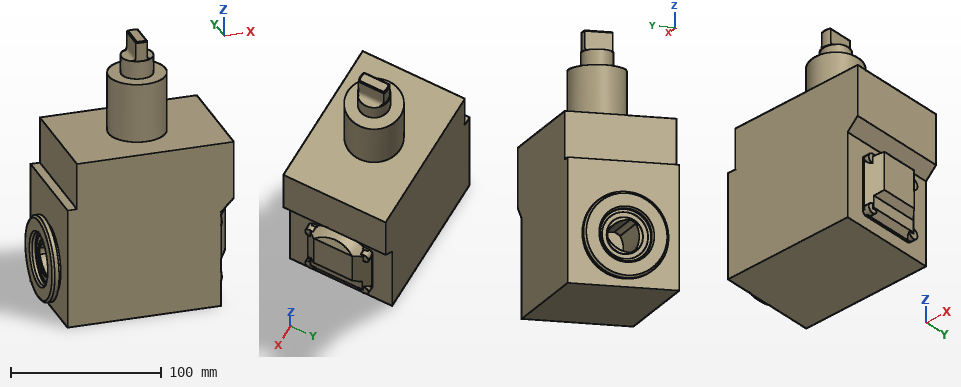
import cadquery as cq
import math

WIDTH = 77.5
TOTAL_HEIGHT = 188.0
HOUSING_TOP = 119.0
STEP_Z = 86.0
LOWER_LEFT_X = -61.7
UPPER_LEFT_X = -55.0
UPPER_RIGHT_X = 54.9
LOWER_RIGHT_X = 45.9
OVERHANG_Z = 77.8
UNDERCUT_Z = OVERHANG_Z - (UPPER_RIGHT_X - LOWER_RIGHT_X)

COLLAR_D = 39.9
COLLAR_TOP = 161.1
JOURNAL_D = 22.0
JOURNAL_TOP = 173.9
TANG_D = 20.9
TANG_THICKNESS = 8.0
TANG_ROOT_RADIUS = 2.5
TANG_EDGE_CHAMFER = 0.8

TOOL_AXIS_Z = 34.2
FLANGE_D = 59.0
FLANGE_LEFT_X = -69.0
FLANGE_THICKNESS = 4.5
FLANGE_CHAMFER = 1.5
NECK_D = 49.0
MOUTH_D = 38.4
SEAT_D = 36.0
LIP_DEPTH = 1.5
SEAT_DEPTH = 3.8
RECESS_D = 32.0
RECESS_DEPTH = 4.1
SOCKET_MOUTH_D = 25.2
SOCKET_LEAD_IN = 0.8
SOCKET_CORNER_D = SOCKET_MOUTH_D - 2 * SOCKET_LEAD_IN
SOCKET_POINT_RADIUS = 12.8
SOCKET_SIDE_RADIUS = 10.2
SOCKET_DEPTH = 37.6

COVER_RADIUS = 29.7
COVER_RIGHT_X = 57.0
COVER_HALF_SQUARE = 24.0
COVER_BASE_X = 47.5
BASE_CORNER_CHAMFER = 3.0
COVER_TOP_CHAMFER = 3.8
STEP_FACE_X = 52.0
STEP_BELOW_AXIS = 4.9
POST_RADIUS = 4.0
POST_RIGHT_X = 51.5


def tool_plane(x):
    """Plane normal to X through the tool axis; local x is +Y, local y is +Z."""
    return cq.Workplane("YZ", origin=(x, 0, TOOL_AXIS_Z))


def tool_cylinder(diameter, x_start, x_end):
    return tool_plane(x_start).circle(diameter / 2).extrude(x_end - x_start)


def make_housing():
    outline = [
        (LOWER_LEFT_X, 0),
        (LOWER_RIGHT_X, 0),
        (LOWER_RIGHT_X, UNDERCUT_Z),
        (UPPER_RIGHT_X, OVERHANG_Z),
        (UPPER_RIGHT_X, HOUSING_TOP),
        (UPPER_LEFT_X, HOUSING_TOP),
        (UPPER_LEFT_X, STEP_Z),
        (LOWER_LEFT_X, STEP_Z),
    ]
    return cq.Workplane("XZ").polyline(outline).close().extrude(WIDTH / 2, both=True)


def make_spindle():
    top = cq.Workplane("XY", origin=(0, 0, HOUSING_TOP))
    collar = top.circle(COLLAR_D / 2).extrude(COLLAR_TOP - HOUSING_TOP)
    journal = top.circle(JOURNAL_D / 2).extrude(JOURNAL_TOP - HOUSING_TOP)
    half = TANG_THICKNESS / 2
    root = half + TANG_ROOT_RADIUS
    root_top = JOURNAL_TOP + TANG_ROOT_RADIUS
    sag = TANG_ROOT_RADIUS * (1 - math.sqrt(0.5))
    profile = (
        cq.Workplane("XZ")
        .moveTo(-root, JOURNAL_TOP)
        .lineTo(root, JOURNAL_TOP)
        .threePointArc((half + sag, JOURNAL_TOP + sag), (half, root_top))
        .lineTo(half, TOTAL_HEIGHT)
        .lineTo(-half, TOTAL_HEIGHT)
        .lineTo(-half, root_top)
        .threePointArc((-half - sag, JOURNAL_TOP + sag), (-root, JOURNAL_TOP))
        .close()
        .extrude(TANG_D / 2, both=True)
    )
    rod = (
        cq.Workplane("XY", origin=(0, 0, JOURNAL_TOP))
        .circle(TANG_D / 2)
        .extrude(TOTAL_HEIGHT - JOURNAL_TOP)
    )
    tang = profile.intersect(rod).faces(">Z").chamfer(TANG_EDGE_CHAMFER)
    return collar.union(journal).union(tang)


def make_flange():
    disc = tool_cylinder(FLANGE_D, FLANGE_LEFT_X, FLANGE_LEFT_X + FLANGE_THICKNESS)
    neck = tool_cylinder(NECK_D, FLANGE_LEFT_X, LOWER_LEFT_X)
    return disc.faces("<X").chamfer(FLANGE_CHAMFER).union(neck)


def make_trilobe(x_start, length):
    """Three-cornered prism with bulged sides and corners rounded about the axis."""
    def point(radius, degrees):
        angle = math.radians(degrees)
        return (radius * math.cos(angle), radius * math.sin(angle))

    outline = tool_plane(x_start).moveTo(*point(SOCKET_POINT_RADIUS, 0))
    for corner in (0, 120, 240):
        side_middle = point(SOCKET_SIDE_RADIUS, corner + 60)
        outline = outline.threePointArc(side_middle, point(SOCKET_POINT_RADIUS, corner + 120))
    prism = outline.close().extrude(length)
    return prism.intersect(tool_cylinder(SOCKET_CORNER_D, x_start, x_start + length))


def make_socket():
    seat_x = FLANGE_LEFT_X + SEAT_DEPTH
    recess_x = FLANGE_LEFT_X + RECESS_DEPTH
    lip = (
        tool_plane(FLANGE_LEFT_X)
        .circle(MOUTH_D / 2)
        .workplane(offset=LIP_DEPTH)
        .circle(SEAT_D / 2)
        .loft()
    )
    seat = tool_cylinder(SEAT_D, FLANGE_LEFT_X, seat_x)
    recess = tool_cylinder(RECESS_D, FLANGE_LEFT_X, recess_x)
    lead_in = tool_cylinder(SOCKET_MOUTH_D, recess_x, recess_x + SOCKET_LEAD_IN)
    trilobe = make_trilobe(recess_x, SOCKET_DEPTH)
    return lip.union(seat).union(recess).union(lead_in).union(trilobe)


def make_cover():
    square = 2 * COVER_HALF_SQUARE
    base = (
        tool_plane(LOWER_RIGHT_X)
        .rect(square, square)
        .extrude(COVER_BASE_X - LOWER_RIGHT_X)
        .edges("|X")
        .chamfer(BASE_CORNER_CHAMFER)
    )
    flats = (
        tool_plane(LOWER_RIGHT_X)
        .center(0, (COVER_RADIUS - COVER_HALF_SQUARE) / 2)
        .rect(square, COVER_RADIUS + COVER_HALF_SQUARE)
        .extrude(COVER_RIGHT_X - LOWER_RIGHT_X)
    )
    disc = tool_cylinder(2 * COVER_RADIUS, LOWER_RIGHT_X, COVER_RIGHT_X).intersect(flats)

    side_chamfer = COVER_RIGHT_X - COVER_BASE_X
    face_half = COVER_HALF_SQUARE - side_chamfer
    face_top = COVER_RADIUS - COVER_TOP_CHAMFER
    spread = COVER_RIGHT_X - LOWER_RIGHT_X
    face_height = face_top + face_half
    pyramid = (
        tool_plane(LOWER_RIGHT_X)
        .center(0, (face_top - face_half) / 2)
        .rect(2 * (face_half + spread), face_height + 2 * spread)
        .extrude(spread, taper=45)
    )
    step_run = COVER_RIGHT_X - STEP_FACE_X
    step_z = TOOL_AXIS_Z - STEP_BELOW_AXIS
    step = (
        cq.Workplane("XZ")
        .moveTo(COVER_RIGHT_X, step_z)
        .lineTo(STEP_FACE_X, step_z - step_run)
        .lineTo(STEP_FACE_X, 0)
        .lineTo(COVER_RIGHT_X, 0)
        .close()
        .extrude(COVER_RADIUS, both=True)
    )
    post_spacing = 2 * (COVER_HALF_SQUARE - POST_RADIUS)
    posts = (
        tool_plane(LOWER_RIGHT_X)
        .rect(post_spacing, post_spacing, forConstruction=True)
        .vertices()
        .circle(POST_RADIUS)
        .extrude(POST_RIGHT_X - LOWER_RIGHT_X)
    )
    return disc.intersect(pyramid).cut(step).union(base).union(posts)


body = make_housing().union(make_spindle()).union(make_flange()).union(make_cover())
result = body.cut(make_socket())